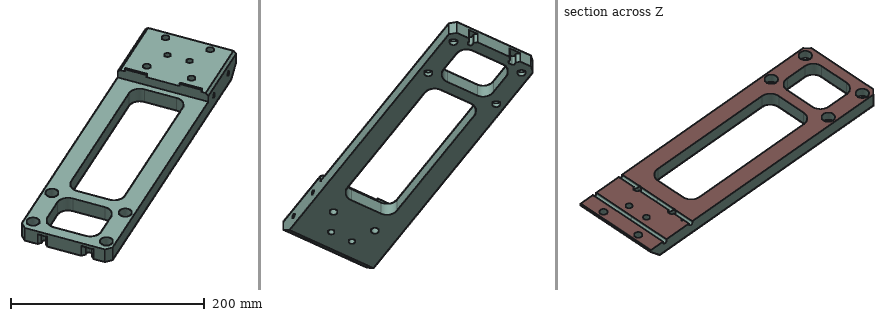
import cadquery as cq

length = 335.0
width = 101.5
height = 30.5
plate_thickness = 17.0
front_corner_chamfer = 6.0

deck_length = 74.0
deck_height = 27.8
deck_edge_chamfer = 3.0
rear_bevel_length = 12.7
rear_bevel_height = 12.7
deck_front = length - deck_length

tab_inner = 18.5
tab_width = 24.5
tab_thickness = 2.5

window_width = 60.0
window_radius = 12.0
window_spans = [(12.7, 63.0), (76.0, 254.0)]

deck_hole_pitch = 50.0
deck_hole_diameter = 8.0
deck_hole_rear_offset = 7.7
center_hole_diameter = 6.7
center_hole_pitch = deck_hole_pitch / 2
deck_hole_center_y = length - deck_hole_rear_offset - deck_hole_pitch / 2

bolt_pitch_x = 82.0
bolt_diameter = 8.5
counterbore_diameter = 13.5
counterbore_depth = 11.5

cross_hole_diameter = 5.0
cross_hole_z = 14.0
cross_hole_rear_offsets = [20.8, 59.0]

notch_offset = 25.0
notch_height = 13.0
notch_depth = 8.0
channel_corner_radius = 2.0
narrow_channel_width = 5.0
narrow_mouth_bevel = 3.0
wide_channel_width = 7.0
wide_mouth_bevel = 3.5


def make_body():
    """Plate and beveled deck, extruded across the width."""
    body = (
        cq.Workplane("YZ")
        .moveTo(0, 0)
        .lineTo(length - rear_bevel_length, 0)
        .lineTo(length, rear_bevel_height)
        .lineTo(length, deck_height)
        .lineTo(deck_front, deck_height)
        .lineTo(deck_front, plate_thickness)
        .lineTo(0, plate_thickness)
        .close()
        .extrude(width / 2, both=True)
    )
    body = body.faces(">Z").edges("|Y").chamfer(deck_edge_chamfer)
    return body.faces("<Y").edges("|Z").chamfer(front_corner_chamfer)


def make_tab(side):
    """Stop tab, rooted on the plate level so that it merges with the deck."""
    return (
        cq.Workplane("XY", origin=(0, deck_front, plate_thickness))
        .center(side * (tab_inner + tab_width / 2), tab_thickness / 2)
        .rect(tab_width, tab_thickness)
        .extrude(height - plate_thickness)
    )


def make_window(front, rear):
    """Rounded rectangular cutter between two Y positions."""
    return (
        cq.Workplane("XY")
        .center(0, (front + rear) / 2)
        .rect(window_width, rear - front)
        .extrude(plate_thickness)
        .edges("|Z")
        .fillet(window_radius)
    )


def make_notch(x, channel_width, mouth_bevel):
    """Round-cornered channel with a 45 degree flared mouth."""
    half_mouth = channel_width / 2 + mouth_bevel
    channel = (
        cq.Workplane("XY")
        .center(x, notch_depth / 2)
        .rect(channel_width, notch_depth)
        .extrude(notch_height)
        .edges("|Z and >Y")
        .fillet(channel_corner_radius)
    )
    mouth = (
        cq.Workplane("XY")
        .moveTo(x - half_mouth, 0)
        .lineTo(x - channel_width / 2, mouth_bevel)
        .lineTo(x + channel_width / 2, mouth_bevel)
        .lineTo(x + half_mouth, 0)
        .close()
        .extrude(notch_height)
    )
    return channel.union(mouth)


result = make_body()

for side in (-1, 1):
    result = result.union(make_tab(side))

for front, rear in window_spans:
    result = result.cut(make_window(front, rear))

deck_plane = cq.Workplane("XY", origin=(0, deck_hole_center_y, 0))
corner_holes = (
    deck_plane.rect(deck_hole_pitch, deck_hole_pitch, forConstruction=True)
    .vertices()
    .circle(deck_hole_diameter / 2)
    .extrude(height)
)
center_holes = (
    deck_plane.pushPoints([(-center_hole_pitch / 2, 0), (center_hole_pitch / 2, 0)])
    .circle(center_hole_diameter / 2)
    .extrude(height)
)
result = result.cut(corner_holes).cut(center_holes)

small_front, small_rear = window_spans[0]
bolt_center_y = (small_front + small_rear) / 2
bolt_pitch_y = small_rear - small_front
bolt_points = (
    cq.Workplane("XY", origin=(0, bolt_center_y, plate_thickness))
    .rect(bolt_pitch_x, bolt_pitch_y, forConstruction=True)
    .vertices()
)
bolt_holes = bolt_points.circle(bolt_diameter / 2).extrude(-plate_thickness)
counterbores = bolt_points.circle(counterbore_diameter / 2).extrude(-counterbore_depth)
result = result.cut(bolt_holes).cut(counterbores)

cross_holes = (
    cq.Workplane("YZ")
    .pushPoints([(length - offset, cross_hole_z) for offset in cross_hole_rear_offsets])
    .circle(cross_hole_diameter / 2)
    .extrude(width, both=True)
)
result = result.cut(cross_holes)

result = result.cut(make_notch(-notch_offset, narrow_channel_width, narrow_mouth_bevel))
result = result.cut(make_notch(notch_offset, wide_channel_width, wide_mouth_bevel))